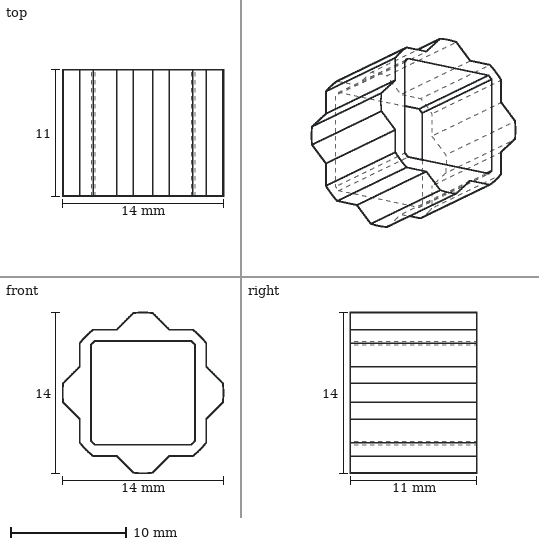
import cadquery as cq

outer_diameter = 13.99
square_side = 11.0
length = 11.0
bore_side = 9.0
bore_corner_radius = 6.14


def square_bar(side):
    """Square bar centred on the origin, running along Y."""
    return cq.Workplane("XY").box(side, length, side)


def round_bar(radius):
    """Round bar centred on the origin, running along Y."""
    return cq.Workplane("XZ").circle(radius).extrude(length / 2, both=True)


def eight_point_star():
    """Two equal squares, one turned by 45 degrees about Y."""
    upright = square_bar(square_side)
    turned = upright.rotate((0, 0, 0), (0, 1, 0), 45)
    return upright.union(turned)


body = eight_point_star().intersect(round_bar(outer_diameter / 2))
bore = square_bar(bore_side).intersect(round_bar(bore_corner_radius))
result = body.cut(bore)